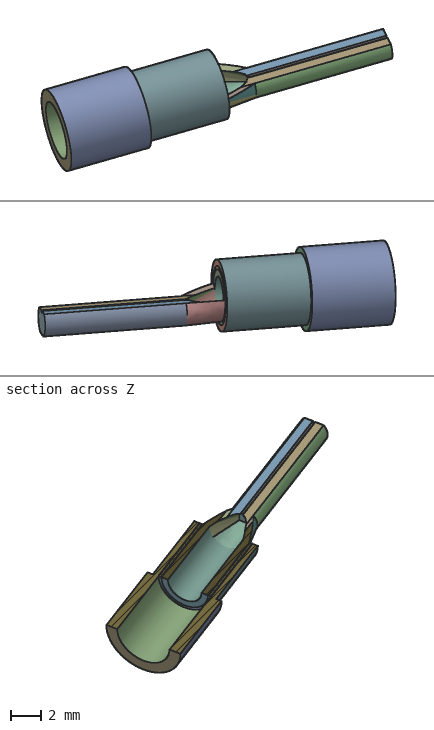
import cadquery as cq

TOTAL_LENGTH = 23.35
COLLAR_LENGTH = 5.65
GRIP_LENGTH = 5.67
NECK_LENGTH = 2.4
HOLLOW_OVERRUN = 0.19

ENTRY_Y = -TOTAL_LENGTH / 2
STEP_Y = ENTRY_Y + COLLAR_LENGTH
HOUSING_END_Y = STEP_Y + GRIP_LENGTH
PIN_START_Y = HOUSING_END_Y + NECK_LENGTH
TIP_Y = TOTAL_LENGTH / 2
HOLLOW_END_Y = PIN_START_Y + HOLLOW_OVERRUN

COLLAR_RADIUS = 2.8
GRIP_RADIUS = 2.4
HOUSING_BORE_RADIUS = 1.95
BARREL_RADIUS = 1.75
BARREL_BORE_RADIUS = 1.25

PIN_WIDTH = 2.05
PIN_FLAT_WIDTH = 1.45
PIN_BASE_WIDTH = 0.98
PIN_TOP_Z = -0.1
NECK_TOP_Z = 0.28
SEAM_WIDTH = 0.19
SEAM_DEPTH = 0.16
HOLLOW_END_WIDTH = 0.89
HOLLOW_END_TOP_Z = -0.4
PIN_BOTTOM_Z = -BARREL_RADIUS
FOLD_FLOOR_Z = -BARREL_BORE_RADIUS


def section(y):
    """Sketch plane across the Y axis, with local x = X and local y = Z."""
    return cq.Workplane(cq.Plane(origin=(0, y, 0), xDir=(1, 0, 0), normal=(0, -1, 0)))


def cylinder(radius, start_y, end_y):
    return section(end_y).circle(radius).extrude(end_y - start_y)


def pin_outline(workplane):
    """Flat top and bottom joined by bowed sides."""
    half_width = PIN_WIDTH / 2
    half_flat = PIN_FLAT_WIDTH / 2
    half_base = PIN_BASE_WIDTH / 2
    mid_z = (PIN_TOP_Z + PIN_BOTTOM_Z) / 2
    return (
        workplane.moveTo(half_base, PIN_BOTTOM_Z)
        .threePointArc((half_width, mid_z), (half_flat, PIN_TOP_Z))
        .lineTo(-half_flat, PIN_TOP_Z)
        .threePointArc((-half_width, mid_z), (-half_base, PIN_BOTTOM_Z))
        .close()
    )


def hollow_end_outline(workplane):
    """Arch with a round top and a flat floor."""
    radius = HOLLOW_END_WIDTH / 2
    spring_z = HOLLOW_END_TOP_Z - radius
    return (
        workplane.moveTo(radius, spring_z)
        .threePointArc((0, HOLLOW_END_TOP_Z), (-radius, spring_z))
        .lineTo(-radius, FOLD_FLOOR_Z)
        .lineTo(radius, FOLD_FLOOR_Z)
        .close()
    )


def make_housing():
    """Stepped insulating housing with a straight bore."""
    collar = cylinder(COLLAR_RADIUS, ENTRY_Y, STEP_Y)
    grip = cylinder(GRIP_RADIUS, STEP_Y, HOUSING_END_Y)
    bore = cylinder(HOUSING_BORE_RADIUS, ENTRY_Y, HOUSING_END_Y)
    return collar.union(grip).cut(bore)


def make_sleeve():
    """Thin ring between the housing and the terminal barrel."""
    bore = cylinder(BARREL_RADIUS, STEP_Y, HOUSING_END_Y)
    return cylinder(HOUSING_BORE_RADIUS, STEP_Y, HOUSING_END_Y).cut(bore)


def make_neck():
    """Taper from the round barrel to the pin, open above a flat middle and two rising sides."""
    barrel_end = section(HOUSING_END_Y).circle(BARREL_RADIUS)
    taper = pin_outline(barrel_end.workplane(offset=-NECK_LENGTH)).loft(ruled=True)
    half_flat = PIN_FLAT_WIDTH / 2
    below_top = (
        section(PIN_START_Y)
        .polyline([
            (-BARREL_RADIUS, PIN_BOTTOM_Z),
            (-BARREL_RADIUS, NECK_TOP_Z),
            (-half_flat, PIN_TOP_Z),
            (half_flat, PIN_TOP_Z),
            (BARREL_RADIUS, NECK_TOP_Z),
            (BARREL_RADIUS, PIN_BOTTOM_Z),
        ])
        .close()
        .extrude(NECK_LENGTH)
    )
    return taper.intersect(below_top)


def make_terminal():
    """Wire barrel, open tapered neck and folded pin in one piece."""
    barrel = cylinder(BARREL_RADIUS, STEP_Y, HOUSING_END_Y)
    pin = pin_outline(section(TIP_Y)).extrude(TIP_Y - PIN_START_Y)
    body = barrel.union(make_neck()).union(pin)

    bore = cylinder(BARREL_BORE_RADIUS, STEP_Y, HOUSING_END_Y)
    bore_end = section(HOUSING_END_Y).circle(BARREL_BORE_RADIUS)
    hollow_length = HOLLOW_END_Y - HOUSING_END_Y
    hollow = hollow_end_outline(bore_end.workplane(offset=-hollow_length)).loft(ruled=True)

    seam = (
        section(TIP_Y)
        .polyline([
            (-SEAM_WIDTH / 2, PIN_TOP_Z),
            (SEAM_WIDTH / 2, PIN_TOP_Z),
            (0, PIN_TOP_Z - SEAM_DEPTH),
        ])
        .close()
        .extrude(TIP_Y - HOUSING_END_Y)
    )
    return body.cut(bore).cut(hollow).cut(seam)


housing = make_housing()
sleeve = make_sleeve()
terminal = make_terminal()

result = cq.Compound.makeCompound([housing.val(), sleeve.val(), *terminal.solids().vals()])